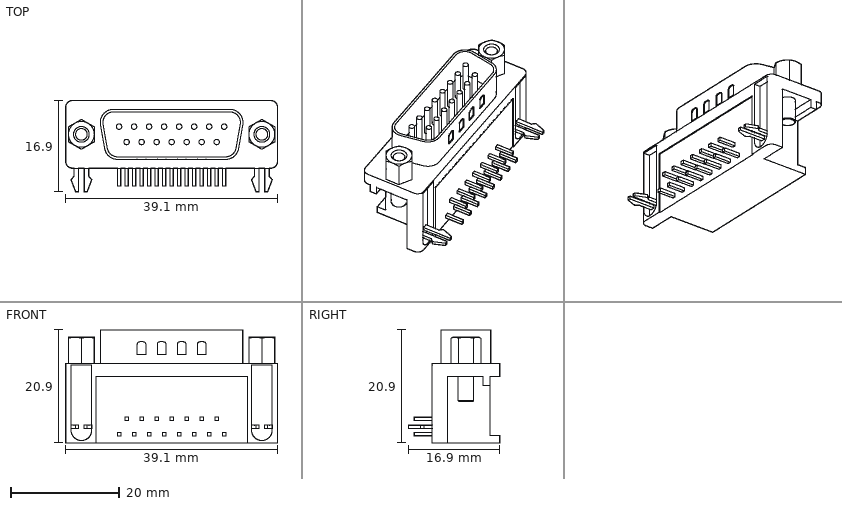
import cadquery as cq
import math


FLANGE_LENGTH = 39.14
OVERALL_DEPTH = 16.88
FLANGE_DEPTH = 12.54
FLANGE_TOP = 14.76
FLANGE_THICKNESS = 2.47
CORNER_RADIUS = 1.3
BLOCK_LENGTH = 28.0
BLOCK_BACK = 4.45
PANEL_RECESS = 0.2
LEG_THICKNESS = 2.84
TAB_DEPTH = 1.3
TAB_HEIGHT = 1.66
FOOT_HEIGHT = 1.45

FRONT = -FLANGE_DEPTH / 2
BACK = FLANGE_DEPTH / 2
FLANGE_BOTTOM = FLANGE_TOP - FLANGE_THICKNESS

STATION_SPACING = 33.3
STATION_X = STATION_SPACING / 2

SLOT_WIDTH = 3.8
SLOT_DEPTH = 1.3
SLOT_BOTTOM = 0.5
SLOT_TOP = 14.43

SHELL_HEIGHT = 6.14
SHELL_DEPTH = 9.26
SHELL_MEAN_LENGTH = 25.64
SHELL_SIDE_ANGLE = 10.0
SHELL_RADIUS = 2.45
SHELL_WALL = 0.48

DIMPLE_COUNT = 4
DIMPLE_PITCH = 3.7
DIMPLE_WIDTH = 1.6
DIMPLE_HEIGHT = 2.33
DIMPLE_BOTTOM = 16.4
DIMPLE_RADIUS = 0.5
DIMPLE_DEPTH = 0.2

CONTACT_PITCH = 2.77
ROW_SPACING = 2.84
LONG_ROW_COUNT = 8
SHORT_ROW_COUNT = 7
CONTACT_DIAMETER = 1.0
CONTACT_TOP = 20.6
TAIL_WIDTH = 0.66
TAIL_LENGTH = 3.28
LONG_ROW_TAIL_Z = 1.67

HEX_ACROSS_FLATS = 4.76
HEX_HEIGHT = 4.8
HEX_CHAMFER_HEIGHT = 0.2
BORE_DIAMETER = 2.15
COUNTERSINK_DIAMETER = 2.9
BORE_DEPTH = 4.0
SHANK_DIAMETER = 2.9
SHANK_BOTTOM = 7.7
SHANK_CHAMFER = 0.15

LOCK_Z = 3.02
LOCK_THICKNESS = 0.62
LOCK_INNER = 0.5
LOCK_OUTER = 1.38
LOCK_BARB = 1.93
LOCK_TIP = 1.08
LOCK_BARB_START = 1.48
LOCK_BARB_PEAK = 2.1
LOCK_LENGTH = OVERALL_DEPTH - FLANGE_DEPTH


def box(x_range, y_range, z_range):
    """Box spanning the given (low, high) pairs."""
    size = [high - low for low, high in (x_range, y_range, z_range)]
    corner = (x_range[0], y_range[0], z_range[0])
    return cq.Workplane("XY").box(*size, centered=False).translate(corner)


def row_positions(count, pitch):
    """Evenly spaced X positions centred on zero."""
    return [(i - (count - 1) / 2) * pitch for i in range(count)]


def make_housing():
    full_x = (-FLANGE_LENGTH / 2, FLANGE_LENGTH / 2)
    block_x = (-BLOCK_LENGTH / 2, BLOCK_LENGTH / 2)
    outline = (
        cq.Workplane("XY")
        .rect(FLANGE_LENGTH, FLANGE_DEPTH)
        .extrude(FLANGE_TOP)
        .edges("|Z")
        .fillet(CORNER_RADIUS)
    )
    flange = box(full_x, (FRONT, BACK), (FLANGE_BOTTOM, FLANGE_TOP))
    tab_y = (BLOCK_BACK - TAB_DEPTH, BLOCK_BACK)
    tabs = box(full_x, tab_y, (FLANGE_BOTTOM - TAB_HEIGHT, FLANGE_BOTTOM))
    legs = box(full_x, (FRONT, FRONT + LEG_THICKNESS), (0, FLANGE_BOTTOM))
    housing = flange.union(tabs).union(legs).intersect(outline)

    housing = housing.union(box(block_x, (FRONT, BLOCK_BACK), (0, FLANGE_BOTTOM)))
    housing = housing.union(box(block_x, (BLOCK_BACK, BACK), (0, FOOT_HEIGHT)))
    return housing.cut(box(block_x, (FRONT, FRONT + PANEL_RECESS), (0, FLANGE_BOTTOM)))


def make_leg_slot(x):
    radius = SLOT_WIDTH / 2
    return (
        cq.Workplane("XZ", origin=(x, FRONT, 0))
        .moveTo(-radius, SLOT_TOP)
        .lineTo(-radius, SLOT_BOTTOM + radius)
        .threePointArc((0, SLOT_BOTTOM), (radius, SLOT_BOTTOM + radius))
        .lineTo(radius, SLOT_TOP)
        .close()
        .extrude(-SLOT_DEPTH)
    )


def make_shell_solid(inset):
    """Rounded D-shaped prism on the flange, its outline moved inward by inset."""
    angle = math.radians(SHELL_SIDE_ANGLE)
    half_depth = SHELL_DEPTH / 2 - inset
    half_mean = SHELL_MEAN_LENGTH / 2 - inset / math.cos(angle)
    half_back = half_mean + half_depth * math.tan(angle)
    half_front = half_mean - half_depth * math.tan(angle)
    outline = [
        (-half_back, half_depth),
        (half_back, half_depth),
        (half_front, -half_depth),
        (-half_front, -half_depth),
    ]
    return (
        cq.Workplane("XY", origin=(0, 0, FLANGE_TOP))
        .polyline(outline)
        .close()
        .extrude(SHELL_HEIGHT)
        .edges("|Z")
        .fillet(SHELL_RADIUS - inset)
    )


def make_dimple(x):
    z_range = (DIMPLE_BOTTOM, DIMPLE_BOTTOM + DIMPLE_HEIGHT)
    y_range = (-SHELL_DEPTH / 2, -SHELL_DEPTH / 2 + DIMPLE_DEPTH)
    dimple = box((x - DIMPLE_WIDTH / 2, x + DIMPLE_WIDTH / 2), y_range, z_range)
    return dimple.faces(">Z").edges("|Y").fillet(DIMPLE_RADIUS)


def make_shell():
    shell = make_shell_solid(0).cut(make_shell_solid(SHELL_WALL))
    for x in row_positions(DIMPLE_COUNT, DIMPLE_PITCH):
        shell = shell.cut(make_dimple(x))
    return shell


def make_contact_row(count, y, tail_z):
    """Round mating pins and square solder tails of one row."""
    points = [(x, 0) for x in row_positions(count, CONTACT_PITCH)]
    pins = (
        cq.Workplane("XY", origin=(0, y, FLANGE_BOTTOM))
        .pushPoints(points)
        .circle(CONTACT_DIAMETER / 2)
        .extrude(CONTACT_TOP - FLANGE_BOTTOM)
    )
    tails = (
        cq.Workplane("XZ", origin=(0, 0, tail_z))
        .pushPoints(points)
        .rect(TAIL_WIDTH, TAIL_WIDTH)
        .extrude(TAIL_LENGTH - FRONT)
    )
    return pins.union(tails)


def make_jackscrew(x):
    corner_radius = HEX_ACROSS_FLATS / math.sqrt(3)
    flat_radius = HEX_ACROSS_FLATS / 2
    top = FLANGE_TOP + HEX_HEIGHT
    hexagon = (
        cq.Workplane("XY", origin=(0, 0, FLANGE_TOP))
        .polygon(6, 2 * corner_radius)
        .extrude(HEX_HEIGHT)
        .rotate((0, 0, 0), (0, 0, 1), 30)
    )
    chamfer_envelope = (
        cq.Workplane("XY", origin=(0, 0, FLANGE_TOP))
        .circle(corner_radius)
        .extrude(HEX_HEIGHT)
        .faces(">Z")
        .chamfer(HEX_CHAMFER_HEIGHT, corner_radius - flat_radius)
    )
    shank = (
        cq.Workplane("XY", origin=(0, 0, SHANK_BOTTOM))
        .circle(SHANK_DIAMETER / 2)
        .extrude(FLANGE_TOP - SHANK_BOTTOM)
        .faces("<Z")
        .chamfer(SHANK_CHAMFER)
    )
    bore_radius = BORE_DIAMETER / 2
    countersink_radius = COUNTERSINK_DIAMETER / 2
    bore_profile = [
        (0, top - BORE_DEPTH),
        (bore_radius, top - BORE_DEPTH),
        (bore_radius, top - (countersink_radius - bore_radius)),
        (countersink_radius, top),
        (0, top),
    ]
    bore = cq.Workplane("XZ").polyline(bore_profile).close().revolve()
    screw = hexagon.intersect(chamfer_envelope).cut(bore).union(shank)
    return screw.translate((x, 0, 0))


def make_board_lock(x):
    profile = [
        (LOCK_INNER, -SLOT_DEPTH),
        (LOCK_OUTER, -SLOT_DEPTH),
        (LOCK_OUTER, LOCK_BARB_START),
        (LOCK_BARB, LOCK_BARB_PEAK),
        (LOCK_TIP, LOCK_LENGTH),
        (LOCK_INNER, LOCK_LENGTH),
    ]
    outline = [(across, FRONT - outward) for across, outward in profile]
    prong = (
        cq.Workplane("XY", origin=(0, 0, LOCK_Z - LOCK_THICKNESS / 2))
        .polyline(outline)
        .close()
        .extrude(LOCK_THICKNESS)
    )
    return prong.union(prong.mirror("YZ")).translate((x, 0, 0))


result = make_housing().union(make_shell())
for station_x in (-STATION_X, STATION_X):
    result = result.cut(make_leg_slot(station_x))
    result = result.union(make_jackscrew(station_x))
    result = result.union(make_board_lock(station_x))
result = result.union(make_contact_row(LONG_ROW_COUNT, ROW_SPACING / 2, LONG_ROW_TAIL_Z))
result = result.union(make_contact_row(SHORT_ROW_COUNT, -ROW_SPACING / 2, LONG_ROW_TAIL_Z + ROW_SPACING))